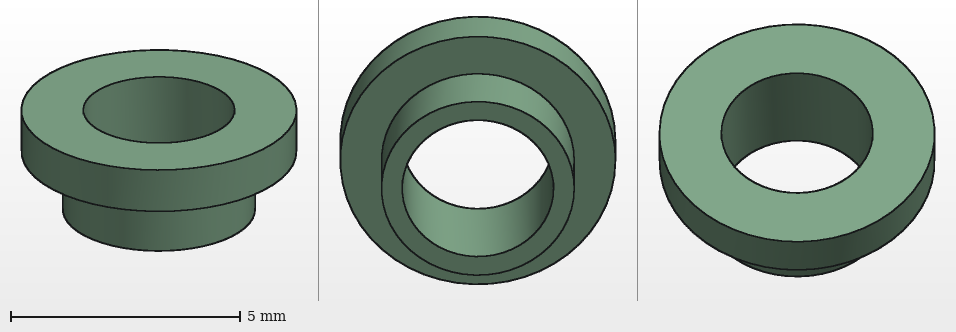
import cadquery as cq

flange_diameter = 6
sleeve_diameter = 4.2
bore_diameter = 3.3
total_height = 2.4
flange_thickness = 1.0
sleeve_length = total_height - flange_thickness

sleeve = cq.Workplane("XY").circle(sleeve_diameter / 2).extrude(sleeve_length)

bushing = sleeve.faces(">Z").workplane().circle(flange_diameter / 2).extrude(flange_thickness)

bore = cq.Workplane("XY").circle(bore_diameter / 2).extrude(total_height)
result = bushing.cut(bore)